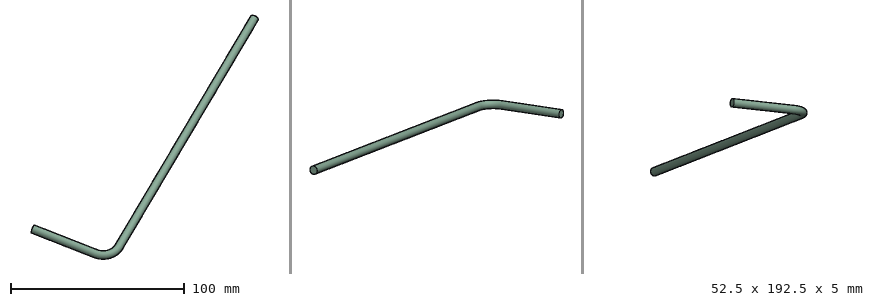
import cadquery as cq

overall_length = 192.5
overall_width = 52.5
rod_diameter = 5.0
bend_radius = 10.0

rod_radius = rod_diameter / 2
outer_bend_radius = bend_radius + rod_radius
short_leg = overall_width - outer_bend_radius
long_leg = overall_length - outer_bend_radius


def rod_centreline():
    """Short leg along +X, a quarter bend, then the long leg along +Y."""
    return (
        cq.Workplane("XY")
        .lineTo(short_leg, 0)
        .radiusArc((short_leg + bend_radius, bend_radius), -bend_radius)
        .lineTo(short_leg + bend_radius, bend_radius + long_leg)
    )


result = cq.Workplane("YZ").circle(rod_radius).sweep(rod_centreline())